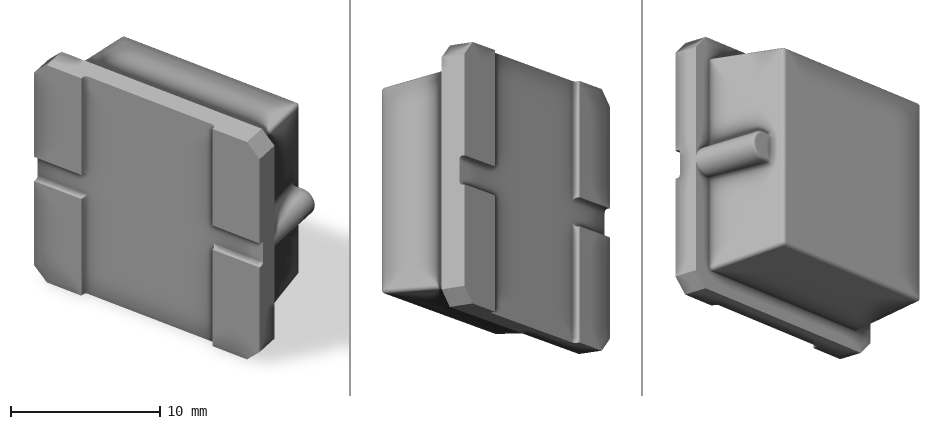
import cadquery as cq
import math

plate_side = 18.0
plate_thickness = 1.82
corner_chamfer = 1.0

recess_depth = 0.41
channel_width = 10.44
slot_height = 2.0
recess_fillet = 0.25

total_depth = 7.9
housing_side = 15.2
housing_height = total_depth - plate_thickness
draft_angle = 5.0
housing_fillet = 0.25

rib_radius = 1.0
rib_length = 5.08
rib_end_fillet = 0.2
rib_root_fillet = 0.25

terminal_width = 1.0
terminal_depth = 0.97
terminal_height = 6.4
terminal_offset = 4.57


def xz_plane(y):
    """Work plane at the given Y, drawing along X and Z and extruding toward +Y."""
    return cq.Workplane(cq.Plane(origin=(0, y, 0), xDir=(-1, 0, 0), normal=(0, 1, 0)))


def make_recess():
    """Cross-shaped cutter with its floor edges rounded."""
    channel = xz_plane(0).rect(channel_width, plate_side * 2).extrude(recess_depth)
    slot = xz_plane(0).rect(plate_side * 2, slot_height).extrude(recess_depth)
    return channel.union(slot).faces(">Y").edges().fillet(recess_fillet)


def make_plate():
    blank = xz_plane(0).rect(plate_side, plate_side).extrude(plate_thickness)
    return blank.edges("|Y").chamfer(corner_chamfer).cut(make_recess())


def make_housing_block():
    block = xz_plane(plate_thickness).rect(housing_side, housing_side)
    block = block.extrude(housing_height, taper=draft_angle)
    return block.faces("not <Y").edges("not <Y").fillet(housing_fillet)


def make_rib():
    """Rib running along Y, rounded toward +X and reaching back inside the housing."""
    rib_axis_x = plate_side / 2 - rib_radius
    rib = (
        cq.Workplane(cq.Plane(origin=(0, plate_thickness, 0), xDir=(1, 0, 0), normal=(0, 1, 0)))
        .moveTo(0, -rib_radius)
        .lineTo(rib_axis_x, -rib_radius)
        .threePointArc((plate_side / 2, 0), (rib_axis_x, rib_radius))
        .lineTo(0, rib_radius)
        .close()
        .extrude(rib_length)
    )
    return rib.faces(">Y").edges("not <X").fillet(rib_end_fillet)


def make_terminal(side, level):
    """Terminal block; side picks -X or +X, level picks the lower or upper one."""
    center = (
        side * (plate_side - terminal_width) / 2,
        terminal_depth / 2,
        level * terminal_offset,
    )
    return cq.Workplane("XY").box(terminal_width, terminal_depth, terminal_height).translate(center)


def make_case(terminals):
    """Plate, housing and rib as one body, with pockets for the terminals."""
    upper = make_housing_block().union(make_rib())
    draft = math.radians(draft_angle)
    wall = upper.faces(cq.selectors.ParallelDirSelector(cq.Vector(math.cos(draft), math.sin(draft), 0)))
    root_zone = cq.selectors.BoxSelector(
        (0, plate_thickness + rib_root_fillet, -2 * rib_radius),
        (plate_side, plate_thickness + rib_length + rib_root_fillet, 2 * rib_radius),
    )
    upper = wall.edges(root_zone).fillet(rib_root_fillet)
    case = make_plate().union(upper)
    for terminal in terminals:
        case = case.cut(terminal)
    return case


terminals = [make_terminal(side, level) for side in (-1, 1) for level in (-1, 1)]
case = make_case(terminals)

result = cq.Compound.makeCompound([case.val(), *[terminal.val() for terminal in terminals]])